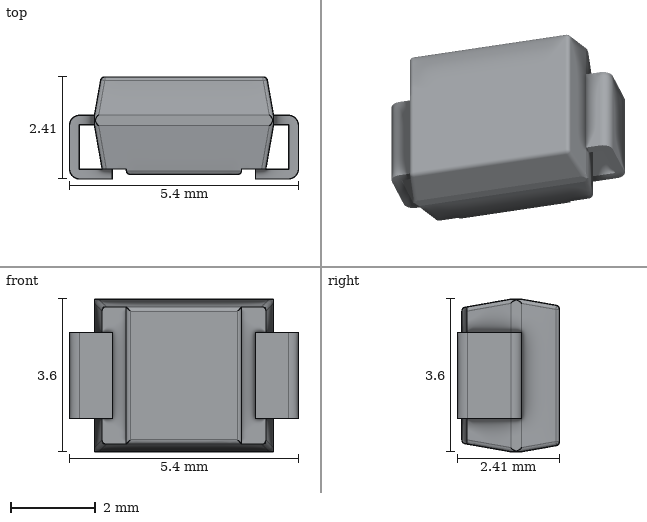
import cadquery as cq
import math

length = 5.4
height_y = 2.41

body_length = 4.225
body_width = 3.6
body_bottom = 0.23
waist_bottom = 1.265
waist_top = 1.505
draft_angle = 10.0
body_round = 0.1

pad_length = 2.72
pad_bottom = 0.1
pad_round = 0.1

lead_thickness = 0.23
lead_width = 2.035
lead_bend_radius = 0.245
foot_gap = 3.37
lead_embed = 0.16


def inset_at(distance):
    """Inward shift of a drafted wall at a distance from the waist."""
    return distance * math.tan(math.radians(draft_angle))


def block(size_x, size_z, y_low, y_high):
    """Box centered in X and Z, spanning y_low to y_high."""
    return cq.Workplane("XY").box(size_x, y_high - y_low, size_z).translate((0, (y_low + y_high) / 2, 0))


def frustum(y_start, y_end):
    """Half of the body, drafted inward from the waist at y_start."""
    distance = y_end - y_start
    inset = 2 * inset_at(abs(distance))
    return (
        cq.Workplane("XZ", origin=(0, y_start, 0))
        .rect(body_length, body_width)
        .workplane(offset=-distance)
        .rect(body_length - inset, body_width - inset)
        .loft(ruled=True)
    )


def make_body():
    """Double-drafted block with rounded corner edges and a rounded top rim."""
    waist = block(body_length, body_width, waist_bottom, waist_top)
    body = waist.union(frustum(waist_top, height_y)).union(frustum(waist_bottom, body_bottom))
    slanted_edges = body.edges("not(#X or #Y or #Z)")
    return body.newObject(slanted_edges.vals() + body.faces(">Y").edges().vals()).fillet(body_round)


def make_pad():
    """Pad whose side walls continue the body draft, with a rounded lower rim."""
    slab = block(pad_length, body_width, pad_bottom, body_bottom)
    pad = frustum(waist_bottom, pad_bottom).intersect(slab)
    return pad.faces("<Y").edges().fillet(pad_round)


def make_lead():
    """Lead on the +X side: upper arm, outer wall and a foot folded under the body."""
    inner_x = length / 2 - lead_thickness
    arm_end = body_length / 2 - lead_embed
    foot_end = foot_gap / 2
    lead = (
        cq.Workplane("XY")
        .moveTo(arm_end, waist_top)
        .lineTo(length / 2, waist_top)
        .lineTo(length / 2, 0)
        .lineTo(foot_end, 0)
        .lineTo(foot_end, lead_thickness)
        .lineTo(inner_x, lead_thickness)
        .lineTo(inner_x, waist_top - lead_thickness)
        .lineTo(arm_end, waist_top - lead_thickness)
        .close()
        .extrude(lead_width / 2, both=True)
    )
    return lead.edges("|Z and >X").fillet(lead_bend_radius)


lead = make_lead()
result = make_body().union(make_pad()).union(lead).union(lead.mirror("YZ"))